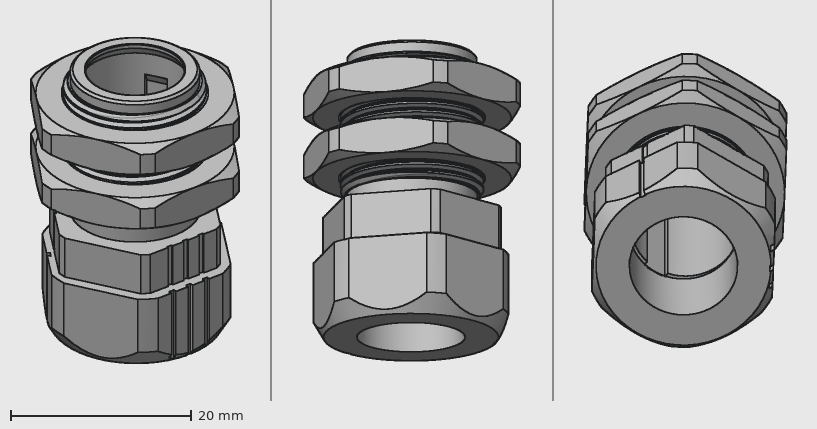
import cadquery as cq
import math

total_height = 32.4
cap_height = 9.0
body_hex_bottom = 9.45
body_hex_top = 14.45
thread_bottom = 16.4
thread_top = 30.95
locknut_bottoms = (18.4, 25.4)

cap_offset_y = 0.42
cap_across_flats = 20.0
cap_corner_radius = 10.95
cap_chamfer_height = 2.16
cap_chamfer_angle = 30.0
cap_collar_radius = 7.75

body_across_flats = 18.0
body_corner_radius = 10.1

groove_faces = ((210, 1), (330, 3))
groove_width = 0.6
groove_cutter_length = 1.0
cap_groove_floor = 9.6
cap_groove_pitch = 2.3
body_groove_floor = 9.0
body_groove_pitch = 2.15

neck_radius = 7.27
spigot_radius = 7.2
spigot_chamfer = 0.3

thread_pitch = 1.0
thread_major_radius = 7.95
thread_root_radius = 7.38
thread_crest_width = 0.25
thread_flank_width = 0.3
thread_end_radius = 7.45
thread_end_chamfer = 0.6
thread_phase = 0.65
thread_embed = 0.1

locknut_height = 4.0
locknut_across_flats = 22.0
locknut_corner_radius = 12.245
locknut_chamfer_angle = 30.0
countersink_radius = 8.15
countersink_depth = 0.5

bore_radius = 6.0
lip_radius = 5.5
lip_height = 0.55
lip_taper_height = 0.9
lip_chamfer = 0.1

keyway_width = 2.7
keyway_depth = 0.45
keyway_top = 28.2
keyway_end_slope = 1.0


def cylinder(radius, bottom, top):
    return cq.Workplane("XY").workplane(offset=bottom).circle(radius).extrude(top - bottom)


def turned(points):
    """Solid of revolution about Z from (radius, height) points."""
    return cq.Workplane("XZ").polyline(points).close().revolve(360, (0, 0, 0), (0, 1, 0))


def hexagon(across_flats, bottom, top):
    """Hexagonal prism with flats facing +Y and -Y."""
    across_corners = across_flats / math.cos(math.radians(30))
    return cq.Workplane("XY").workplane(offset=bottom).polygon(6, across_corners).extrude(top - bottom)


def groove_cutters(floor_distance, pitch, bottom, top):
    """Upright grooves, evenly spaced about the middle of the marked flats."""
    cutters = cq.Workplane("XY")
    for angle, count in groove_faces:
        for index in range(count):
            shift = (index - (count - 1) / 2) * pitch
            groove = cq.Workplane("XY").box(
                groove_cutter_length, groove_width, top - bottom, centered=(False, True, False)
            )
            groove = groove.translate((floor_distance, shift, bottom))
            cutters = cutters.add(groove.rotate((0, 0, 0), (0, 0, 1), angle))
    return cutters.combine()


def cap_nut():
    foot_radius = cap_corner_radius - cap_chamfer_height * math.tan(math.radians(cap_chamfer_angle))
    envelope = turned([
        (0, 0),
        (foot_radius, 0),
        (cap_corner_radius, cap_chamfer_height),
        (cap_corner_radius, cap_height),
        (0, cap_height),
    ])
    cap = hexagon(cap_across_flats, 0, cap_height).intersect(envelope)
    cap = cap.cut(groove_cutters(cap_groove_floor, cap_groove_pitch, 0, cap_height))
    cap = cap.union(cylinder(cap_collar_radius, cap_height, body_hex_bottom))
    cap = cap.cut(cylinder(bore_radius, 0, body_hex_bottom))
    return cap.translate((0, cap_offset_y, 0))


def body_hexagon():
    body = hexagon(body_across_flats, body_hex_bottom, body_hex_top)
    body = body.intersect(cylinder(body_corner_radius, body_hex_bottom, body_hex_top))
    grooves = groove_cutters(body_groove_floor, body_groove_pitch, body_hex_bottom, body_hex_top)
    return body.cut(grooves.translate((0, cap_offset_y, 0)))


def stem():
    """Neck, thread core and spigot as one turned piece."""
    return turned([
        (0, body_hex_bottom),
        (neck_radius, body_hex_bottom),
        (neck_radius, thread_bottom),
        (thread_root_radius, thread_bottom),
        (thread_root_radius, thread_top),
        (spigot_radius, thread_top),
        (spigot_radius, total_height - spigot_chamfer),
        (spigot_radius - spigot_chamfer, total_height),
        (0, total_height),
    ])


def thread_ridge():
    """Right-handed helical ridge, trimmed by a cone at each end of the thread."""
    start = math.floor(thread_bottom) - thread_pitch + thread_phase
    length = thread_top - start + thread_pitch
    inner_radius = thread_root_radius - thread_embed
    half_crest = thread_crest_width / 2
    half_root = half_crest + thread_flank_width
    half_inner = half_root + thread_embed * thread_flank_width / (thread_major_radius - thread_root_radius)
    helix = cq.Wire.makeHelix(thread_pitch, length, inner_radius)
    ridge = (
        cq.Workplane("XZ")
        .polyline([
            (inner_radius, -half_inner),
            (thread_major_radius, -half_crest),
            (thread_major_radius, half_crest),
            (inner_radius, half_inner),
        ])
        .close()
        .sweep(cq.Workplane(helix), isFrenet=True)
        .translate((0, 0, start))
    )
    clear_radius = thread_end_radius + thread_end_chamfer
    envelope = turned([
        (0, thread_bottom),
        (thread_end_radius, thread_bottom),
        (clear_radius, thread_bottom + thread_end_chamfer),
        (clear_radius, thread_top - thread_end_chamfer),
        (thread_end_radius, thread_top),
        (0, thread_top),
    ])
    return ridge.intersect(envelope)


def locknut(bottom):
    """Chamfered hexagon nut, countersunk around the thread at both ends."""
    top = bottom + locknut_height
    face_radius = locknut_across_flats / 2
    drop = (locknut_corner_radius - face_radius) * math.tan(math.radians(locknut_chamfer_angle))
    envelope = turned([
        (0, bottom + countersink_depth),
        (thread_root_radius, bottom + countersink_depth),
        (countersink_radius, bottom),
        (face_radius, bottom),
        (locknut_corner_radius, bottom + drop),
        (locknut_corner_radius, top - drop),
        (face_radius, top),
        (countersink_radius, top),
        (thread_root_radius, top - countersink_depth),
        (0, top - countersink_depth),
    ])
    return hexagon(locknut_across_flats, bottom, top).intersect(envelope)


def bore():
    """Through bore, tapering in to a narrower lip at the open end."""
    lip_bottom = total_height - lip_height
    return turned([
        (0, body_hex_bottom),
        (bore_radius, body_hex_bottom),
        (bore_radius, lip_bottom - lip_taper_height),
        (lip_radius, lip_bottom),
        (lip_radius, total_height - lip_chamfer),
        (lip_radius + lip_chamfer, total_height),
        (0, total_height),
    ])


def keyway():
    """Groove along the bore, with an upper end that slopes down towards its floor."""
    floor_radius = bore_radius + keyway_depth
    return (
        cq.Workplane("YZ")
        .polyline([
            (0, body_hex_bottom),
            (floor_radius, body_hex_bottom),
            (floor_radius, keyway_top - keyway_end_slope),
            (bore_radius, keyway_top),
            (0, keyway_top),
        ])
        .close()
        .extrude(keyway_width / 2, both=True)
    )


upper = stem().union(thread_ridge()).union(body_hexagon())
for nut_bottom in locknut_bottoms:
    upper = upper.union(locknut(nut_bottom))
upper = upper.cut(bore()).cut(keyway())
result = upper.union(cap_nut())